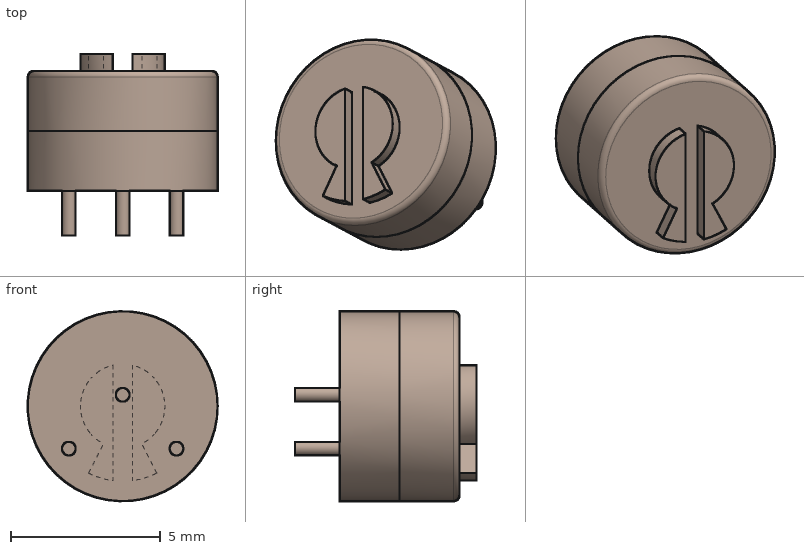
import cadquery as cq
import math

body_diameter = 6.35
base_length = 2.0
cap_length = base_length
cap_fillet = 0.205

adjuster_height = 0.57
hub_radius = 1.41
pointer_radius = 2.51
pointer_half_angle = math.radians(27.0)
slot_width = 0.655

pin_diameter = 0.46
pin_length = 1.5
pin_spacing = 1.8
upper_pin_z = 0.38
lower_pin_z = upper_pin_z - pin_spacing
pin_places = [
    (0, upper_pin_z),
    (-pin_spacing, lower_pin_z),
    (pin_spacing, lower_pin_z),
]


def rod(diameter, start_y, length, x=0, z=0):
    """Round bar along +Y, starting at start_y."""
    plane = cq.Plane(origin=(x, start_y, z), xDir=(1, 0, 0), normal=(0, 1, 0))
    return cq.Workplane(plane).circle(diameter / 2).extrude(length)


def make_adjuster(start_y):
    """Hub and pointer, split in two by a slot along Z."""
    hub = rod(2 * hub_radius, start_y, adjuster_height)

    corner_x = pointer_radius * math.sin(pointer_half_angle)
    corner_z = -pointer_radius * math.cos(pointer_half_angle)
    pointer = (
        cq.Workplane("XZ", origin=(0, start_y, 0))
        .moveTo(0, 0)
        .lineTo(-corner_x, corner_z)
        .threePointArc((0, -pointer_radius), (corner_x, corner_z))
        .close()
        .extrude(-adjuster_height)
    )

    slot_length = 2 * pointer_radius
    slot = (
        cq.Workplane("XZ", origin=(0, start_y, 0))
        .rect(slot_width, slot_length)
        .extrude(-adjuster_height)
    )
    return hub.union(pointer).cut(slot)


def make_base():
    return rod(body_diameter, 0, base_length)


def make_cap():
    """Back half of the round body, carrying the adjuster."""
    drum = rod(body_diameter, base_length, cap_length)
    drum = drum.faces(">Y").edges().fillet(cap_fillet)
    return drum.union(make_adjuster(base_length + cap_length))


def make_pin(x, z):
    return rod(pin_diameter, -pin_length, pin_length, x, z)


base = make_base()
cap = make_cap()
pins = [make_pin(x, z) for x, z in pin_places]

result = cq.Compound.makeCompound([base.val(), cap.solids().val(), *[pin.val() for pin in pins]])